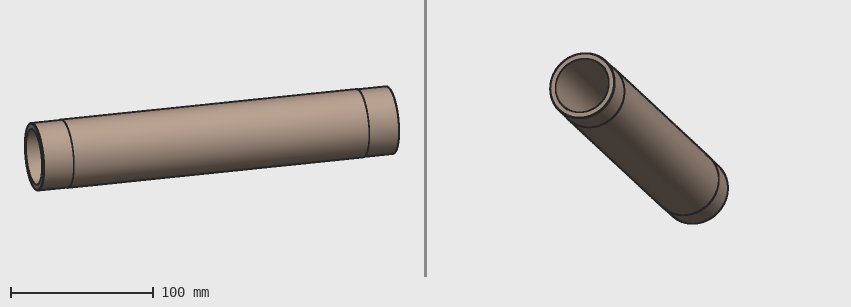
import cadquery as cq

length = 260.0
body_diameter = 48.4
end_diameter = 47.8
bore_diameter = 39.3
end_length = 22.0
end_chamfer = 0.5

outer_radius = body_diameter / 2
end_radius = end_diameter / 2
bore_radius = bore_diameter / 2
rim_radius = end_radius - end_chamfer
half_length = length / 2
shoulder = half_length - end_length
chamfer_start = half_length - end_chamfer

wall_section = (
    cq.Workplane("XY")
    .moveTo(bore_radius, -half_length)
    .lineTo(rim_radius, -half_length)
    .lineTo(end_radius, -chamfer_start)
    .lineTo(end_radius, -shoulder)
    .lineTo(outer_radius, -shoulder)
    .lineTo(outer_radius, shoulder)
    .lineTo(end_radius, shoulder)
    .lineTo(end_radius, chamfer_start)
    .lineTo(rim_radius, half_length)
    .lineTo(bore_radius, half_length)
    .close()
)

result = wall_section.revolve(360, (0, 0, 0), (0, 1, 0))